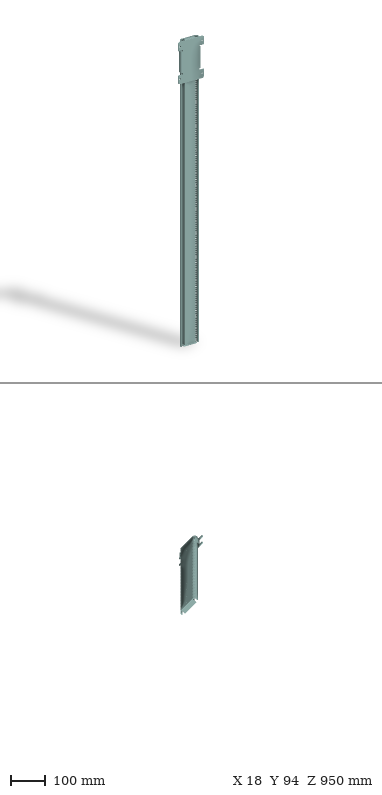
import cadquery as cq
import math

length = 950.0
total_depth = 18.0
sheet = 2.4

cover_half_width = 32.0
cover_depth = 13.0
corner_radius = 9.0
flap_depth = 15.0
flat_half_width = cover_half_width - corner_radius
inner_corner_radius = corner_radius - sheet
corner_end_angle = math.pi / 2 + math.asin((cover_depth - corner_radius) / corner_radius)

slot_count = 165
slot_pitch = length / (slot_count + 1)
slot_height = 2.7
slot_depth = 6.0
slot_width = corner_radius
bottom_slot_fraction = 0.75
first_slot_z = bottom_slot_fraction * slot_pitch

hole_count = 10
hole_diameter = 5.0
first_hole_z = 25.0
hole_pitch = (length - 2 * first_hole_z) / (hole_count - 1)

core_width = 37.0

bracket_height = 131.0
bracket_mid_z = length - bracket_height / 2
plate_front_x = total_depth - sheet
neck_width = 61.0
ear_span = 94.0
ear_height = 28.0
ear_radius = 8.0
ear_hole_diameter = 5.0
ear_hole_span = 80.0
ear_hole_inset = 15.0
clamp_gap = 1.0
clamp_half_width = cover_half_width + clamp_gap + sheet
clamp_height = 66.0
clamp_bend_radius = 4.0
lip_angle = math.radians(30)
lip_bend_x = 8.0
lip_tip_x = 2.0


def corner_point(radius, angle, side):
    """Point on a rounded side; the angle runs from 0 at the flat front around to the back edge."""
    x = corner_radius - radius * math.cos(angle)
    y = flat_half_width + radius * math.sin(angle)
    return (x, side * y)


def make_cover_shell():
    """Bent sheet: outer line from -Y to +Y, then the inner line back again."""
    middle = corner_end_angle / 2
    return (
        cq.Workplane("XY")
        .moveTo(*corner_point(corner_radius, corner_end_angle, -1))
        .threePointArc(corner_point(corner_radius, middle, -1), corner_point(corner_radius, 0, -1))
        .lineTo(*corner_point(corner_radius, 0, 1))
        .threePointArc(corner_point(corner_radius, middle, 1), corner_point(corner_radius, corner_end_angle, 1))
        .lineTo(*corner_point(inner_corner_radius, corner_end_angle, 1))
        .threePointArc(corner_point(inner_corner_radius, middle, 1), corner_point(inner_corner_radius, 0, 1))
        .lineTo(*corner_point(inner_corner_radius, 0, -1))
        .threePointArc(
            corner_point(inner_corner_radius, middle, -1),
            corner_point(inner_corner_radius, corner_end_angle, -1),
        )
        .close()
        .extrude(length)
    )


def make_bottom_flap():
    return cq.Workplane("XY").box(flap_depth, 2 * flat_half_width, sheet, centered=(False, True, False))


def make_flap_bend_waste():
    """Material outside the rounded bend between the flat front and the bottom flap."""
    return (
        cq.Workplane("XZ")
        .lineTo(0, sheet)
        .radiusArc((sheet, 0), -sheet)
        .close()
        .extrude(flat_half_width, both=True)
    )


def make_slot_cutters():
    cutters = []
    for side in (-1, 1):
        y = side * (flat_half_width + slot_width / 2)
        for i in range(slot_count):
            cutter = cq.Workplane("XY").box(slot_depth, slot_width, slot_height, centered=(False, True, True))
            cutters.append(cutter.val().moved(cq.Location(cq.Vector(0, y, first_slot_z + i * slot_pitch))))
    return cq.Workplane(cq.Compound.makeCompound(cutters))


def make_hole_cutters():
    centres = [(0, first_hole_z + i * hole_pitch) for i in range(hole_count)]
    return cq.Workplane("YZ").pushPoints(centres).circle(hole_diameter / 2).extrude(sheet)


def make_cover():
    cover = make_cover_shell().union(make_bottom_flap()).cut(make_flap_bend_waste())
    cover = cover.cut(make_hole_cutters())
    return cover.cut(make_slot_cutters(), clean=False)


def make_core():
    """Plain bar that lies behind the flat front and stands on the bottom flap."""
    base = cq.Workplane("XY", origin=(sheet, 0, sheet))
    return base.box(cover_depth - sheet, core_width, length - sheet, centered=(False, True, False))


def make_plate(width, height, z):
    base = cq.Workplane("XY", origin=(plate_front_x, 0, z))
    return base.box(sheet, width, height, centered=(False, True, True))


def make_clamp(side):
    """Side flange with a rounded bend at the plate and a lip that leans in over the cover."""
    lean = (lip_bend_x - lip_tip_x) * math.tan(lip_angle)
    tip_y = clamp_half_width - lean
    inner_y = clamp_half_width - sheet
    bend_start = (total_depth - clamp_bend_radius, side * clamp_half_width)
    bend_end = (total_depth, side * (clamp_half_width - clamp_bend_radius))
    inner_tip = (lip_tip_x + sheet * math.sin(lip_angle), side * (tip_y - sheet * math.cos(lip_angle)))
    inner_bend = (lip_bend_x + sheet * math.tan(lip_angle / 2), side * inner_y)
    return (
        cq.Workplane("XY", origin=(0, 0, bracket_mid_z))
        .moveTo(total_depth, 0)
        .lineTo(*bend_end)
        .radiusArc(bend_start, -side * clamp_bend_radius)
        .lineTo(lip_bend_x, side * clamp_half_width)
        .lineTo(lip_tip_x, side * tip_y)
        .lineTo(*inner_tip)
        .lineTo(*inner_bend)
        .lineTo(plate_front_x, side * inner_y)
        .lineTo(plate_front_x, 0)
        .close()
        .extrude(clamp_height / 2, both=True)
    )


def make_bracket():
    bracket = make_plate(neck_width, bracket_height, bracket_mid_z)
    ear_offset = (bracket_height - ear_height) / 2
    for z, outer_edge in ((bracket_mid_z + ear_offset, ">Z"), (bracket_mid_z - ear_offset, "<Z")):
        ears = make_plate(ear_span, ear_height, z).edges("|X").edges(outer_edge).fillet(ear_radius)
        bracket = bracket.union(ears)
    for side in (-1, 1):
        bracket = bracket.union(make_clamp(side))
    ear_holes = (
        cq.Workplane("YZ", origin=(plate_front_x, 0, bracket_mid_z))
        .rect(ear_hole_span, bracket_height - 2 * ear_hole_inset, forConstruction=True)
        .vertices()
        .circle(ear_hole_diameter / 2)
        .extrude(sheet)
    )
    return bracket.cut(ear_holes)


cover = make_cover()
core = make_core()
bracket = make_bracket()
result = cq.Compound.makeCompound([body.solids().val() for body in (cover, core, bracket)])